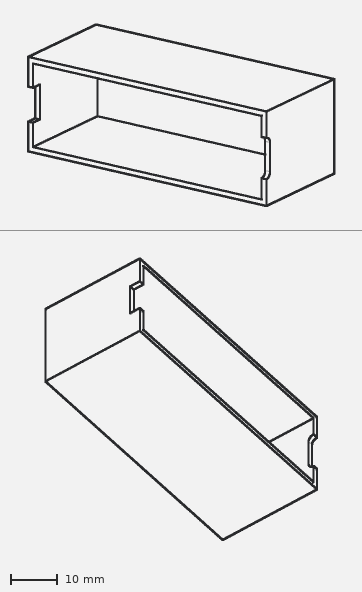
import cadquery as cq

length = 61.9
depth = 25.5
height = 21.4
wall = 1.25

square_notch_height = 7.9
square_notch_depth = 2.6

round_notch_height = 9.3
round_notch_depth = 1.35
round_notch_radius = 1.34

open_face_y = -depth / 2


def make_box():
    """Thin-walled box, open on the -Y side."""
    return cq.Workplane("XY").box(length, depth, height).faces("<Y").shell(-wall)


def make_notch_cutter(outer_face_x, notch_height, notch_depth):
    """Block through the wall at outer_face_x, reaching notch_depth in from the open face."""
    block = cq.Workplane("XY").box(2 * wall, 2 * notch_depth, notch_height)
    return block.translate((outer_face_x, open_face_y, 0))


def cut_square_notch(body):
    cutter = make_notch_cutter(-length / 2, square_notch_height, square_notch_depth)
    return body.cut(cutter)


def cut_round_notch(body):
    cutter = make_notch_cutter(length / 2, round_notch_height, round_notch_depth)
    rounded_cutter = cutter.faces(">Y").edges("|X").fillet(round_notch_radius)
    return body.cut(rounded_cutter)


result = cut_round_notch(cut_square_notch(make_box()))